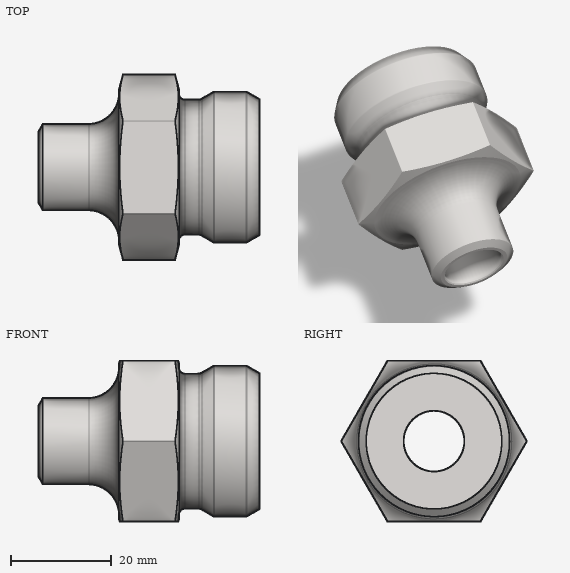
import cadquery as cq
import math

total_length = 44.0
spigot_length = 10.0
hex_start = 16.0
hex_end = 28.0

spigot_radius = 17.2 / 2
spigot_tip_radius = 7.0
spigot_tip_angle = 30
bore_radius = 12.0 / 2
bore_chamfer = 0.2
sweep_radius = hex_start - spigot_length

across_flats = 32.0
across_corners = across_flats / math.cos(math.radians(30))
hex_face_radius = 15.4
hex_chamfer_angle = 15
hex_corner_fillet = 0.1

neck_radius = 26.9 / 2
collar_radius = 30.0 / 2
collar_cone_angle = 30
collar_start = 34.9
collar_end = 41.35
neck_root_fillet = 1.1
neck_cone_fillet = 1.25
collar_edge_fillet = 0.45

axis_start = (0, 0, 0)
axis_end = (1, 0, 0)


def revolve_about_x(profile):
    return profile.close().revolve(360, axis_start, axis_end)


def make_turned_body():
    """Spigot, concave sweep, neck and collar as one revolved profile."""
    tip_length = (spigot_radius - spigot_tip_radius) * math.tan(math.radians(spigot_tip_angle))
    cone_slope = math.tan(math.radians(collar_cone_angle))
    cone_start = collar_start - (collar_radius - neck_radius) / cone_slope
    end_radius = collar_radius - (total_length - collar_end) * cone_slope
    sweep_side = sweep_radius * math.sin(math.radians(45))
    sweep_middle = (
        spigot_length + sweep_side,
        spigot_radius + sweep_radius - sweep_side,
    )

    profile = (
        cq.Workplane("XY")
        .moveTo(0, 0)
        .lineTo(0, spigot_tip_radius)
        .lineTo(tip_length, spigot_radius)
        .lineTo(spigot_length, spigot_radius)
        .threePointArc(sweep_middle, (hex_start, spigot_radius + sweep_radius))
        .lineTo(hex_end, spigot_radius + sweep_radius)
        .lineTo(hex_end, neck_radius)
        .lineTo(cone_start, neck_radius)
        .lineTo(collar_start, collar_radius)
        .lineTo(collar_end, collar_radius)
        .lineTo(total_length, end_radius)
        .lineTo(total_length, 0)
    )
    body = revolve_about_x(profile)
    body = fillet_circle(body, cone_start, neck_radius, neck_cone_fillet)
    for x in (collar_start, collar_end):
        body = fillet_circle(body, x, collar_radius, collar_edge_fillet)
    return body


def fillet_circle(body, x, radius, fillet_radius):
    """Round the circular edge of the given radius that lies at x."""
    margin = 0.05
    reach = radius + margin
    selector = cq.selectors.BoxSelector(
        (x - margin, -reach, -reach), (x + margin, reach, reach), boundingbox=True
    )
    return body.edges(selector).fillet(fillet_radius)


def make_hexagon():
    """Hexagonal prism with softened corners and both ends turned to a shallow cone."""
    corner_radius = across_corners / 2
    hex_length = hex_end - hex_start
    prism = (
        cq.Workplane("YZ", origin=(hex_start, 0, 0))
        .polygon(6, across_corners)
        .extrude(hex_length)
        .edges("|X")
        .fillet(hex_corner_fillet)
    )
    chamfer_length = (corner_radius - hex_face_radius) * math.tan(math.radians(hex_chamfer_angle))
    envelope = revolve_about_x(
        cq.Workplane("XY")
        .moveTo(hex_start, 0)
        .lineTo(hex_start, hex_face_radius)
        .lineTo(hex_start + chamfer_length, corner_radius)
        .lineTo(hex_end - chamfer_length, corner_radius)
        .lineTo(hex_end, hex_face_radius)
        .lineTo(hex_end, 0)
    )
    return prism.intersect(envelope)


def make_neck_root():
    """Concave ring blending the neck into the hexagon face."""
    side = neck_root_fillet * (1 - math.sin(math.radians(45)))
    return revolve_about_x(
        cq.Workplane("XY")
        .moveTo(hex_end, neck_radius + neck_root_fillet)
        .threePointArc(
            (hex_end + side, neck_radius + side),
            (hex_end + neck_root_fillet, neck_radius),
        )
        .lineTo(hex_end + neck_root_fillet, 0)
        .lineTo(hex_end, 0)
    )


def make_bore():
    """Through bore with a small chamfer at the spigot mouth."""
    return revolve_about_x(
        cq.Workplane("XY")
        .moveTo(0, 0)
        .lineTo(0, bore_radius + bore_chamfer)
        .lineTo(bore_chamfer, bore_radius)
        .lineTo(total_length, bore_radius)
        .lineTo(total_length, 0)
    )


result = make_turned_body().union(make_hexagon()).union(make_neck_root()).cut(make_bore())